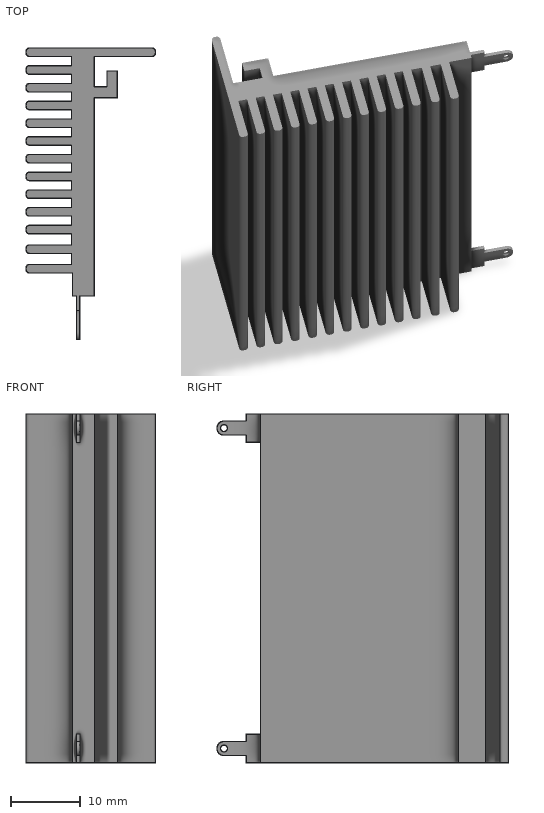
import cadquery as cq

height = 50.0
total_length = 41.8
body_length = 35.55

fin_thickness = 1.25
tip_radius = 0.5
regular_span = 25.4
regular_gaps = 10
regular_pitch = regular_span / regular_gaps
wide_pitch = 2.8
wide_gaps = 2
flange_width = 18.55

fin_depth = 6.5
base_right = 9.8
foot_left = 6.65

hook_right = 13.1
hook_lip_thickness = 1.5
hook_tip_y = -3.3
hook_floor_y = -5.55
hook_bottom_y = -7.15

tab_thickness = 0.5
tab_left = 7.2
shoulder_length = 2.05
shoulder_height = 4.1
tab_width = 2.05
tab_hole_diameter = 0.95
tab_center_from_end = shoulder_height / 2


def box(x_min, x_max, y_min, y_max, z_min=0.0, z_max=height):
    size = (x_max - x_min, y_max - y_min, z_max - z_min)
    return cq.Workplane("XY").box(*size, centered=False).translate((x_min, y_min, z_min))


def fin(center_y):
    """Plate from the base plate out to a rounded tip at x = 0."""
    plate = box(0.0, base_right, center_y - fin_thickness / 2, center_y + fin_thickness / 2)
    return plate.edges("|Z and <X").fillet(tip_radius)


def flange():
    """First fin, continued past the base plate and rounded at both ends."""
    return box(0.0, flange_width, -fin_thickness, 0.0).edges("|Z").fillet(tip_radius)


def hook():
    floor = box(base_right, hook_right, hook_bottom_y, hook_floor_y)
    lip = box(hook_right - hook_lip_thickness, hook_right, hook_bottom_y, hook_tip_y)
    return floor.union(lip)


def solder_tab(center_z):
    """Wide shoulder and narrow round-ended tongue with an eyelet hole."""
    tab_right = tab_left + tab_thickness
    tip_center_y = -total_length + tab_width / 2
    shoulder = box(
        tab_left, tab_right,
        -body_length - shoulder_length, -body_length,
        center_z - shoulder_height / 2, center_z + shoulder_height / 2,
    )
    tongue = box(
        tab_left, tab_right,
        tip_center_y, -body_length,
        center_z - tab_width / 2, center_z + tab_width / 2,
    )
    eyelet_plane = cq.Workplane("YZ", origin=(tab_left, tip_center_y, center_z))
    tip = eyelet_plane.circle(tab_width / 2).extrude(tab_thickness)
    hole = eyelet_plane.circle(tab_hole_diameter / 2).extrude(tab_thickness)
    return shoulder.union(tongue).union(tip).cut(hole)


flange_y = -fin_thickness / 2
last_regular_y = flange_y - regular_span
fin_centers = [flange_y - i * regular_pitch for i in range(1, regular_gaps + 1)]
fin_centers += [last_regular_y - i * wide_pitch for i in range(1, wide_gaps + 1)]
last_fin_y = fin_centers[-1]

result = box(fin_depth, base_right, last_fin_y, 0.0)
result = result.union(box(foot_left, base_right, -body_length, last_fin_y))

for center_y in fin_centers:
    result = result.union(fin(center_y))
result = result.union(flange())
result = result.union(hook())

for center_z in (tab_center_from_end, height - tab_center_from_end):
    result = result.union(solder_tab(center_z))